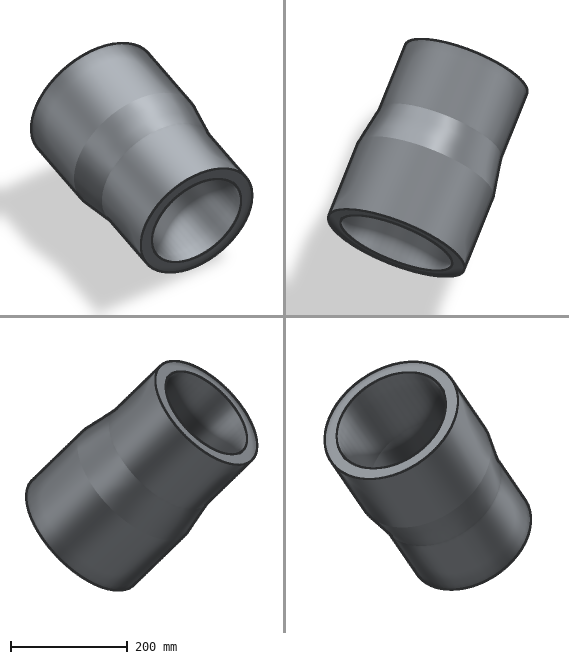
import cadquery as cq
import math

large_outer_diameter = 250.0
small_outer_diameter = 225.0
wall_thickness = 22.7

large_length = 140.0
taper_length = 70.0
small_length = 125.0
total_length = large_length + taper_length + small_length

taper_angle = math.atan((large_outer_diameter - small_outer_diameter) / 2 / taper_length)
corner_shift = wall_thickness * math.tan(taper_angle / 2)


def stepped_body(large_diameter, small_diameter, taper_start):
    """Solid of revolution about X: large cylinder, cone, small cylinder."""
    taper_end = taper_start + taper_length
    return (
        cq.Workplane("XY")
        .moveTo(0, 0)
        .lineTo(0, large_diameter / 2)
        .lineTo(taper_start, large_diameter / 2)
        .lineTo(taper_end, small_diameter / 2)
        .lineTo(total_length, small_diameter / 2)
        .lineTo(total_length, 0)
        .close()
        .revolve(360, (0, 0, 0), (1, 0, 0))
    )


outer_body = stepped_body(large_outer_diameter, small_outer_diameter, large_length)
bore = stepped_body(
    large_outer_diameter - 2 * wall_thickness,
    small_outer_diameter - 2 * wall_thickness,
    large_length - corner_shift,
)

result = outer_body.cut(bore)